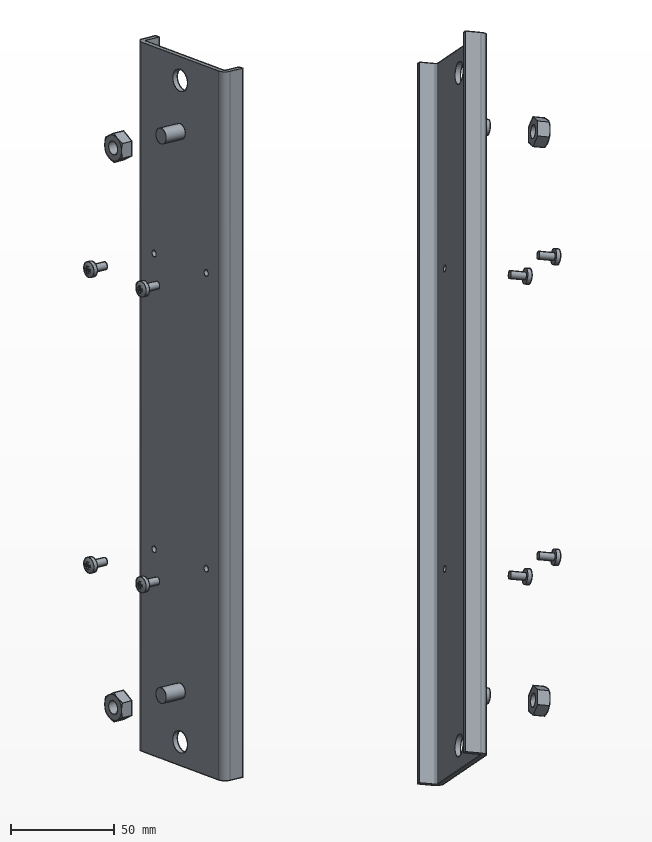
import cadquery as cq
import math

CHANNEL_LENGTH = 360.0
CHANNEL_WIDTH = 67.0
CHANNEL_DEPTH = 12.0
SHEET_THICKNESS = 3.0
BEND_INNER_RADIUS = 1.0
BEND_OUTER_RADIUS = BEND_INNER_RADIUS + SHEET_THICKNESS

MOUNTING_HOLE_DIAMETER = 11.0
MOUNTING_HOLE_SPACING = 336.0

STUD_DIAMETER = 8.0
STUD_LENGTH = 12.0
STUD_SPACING = 284.0
NUT_ACROSS_FLATS = 13.0
NUT_THICKNESS = 6.5
NUT_BORE_DIAMETER = 7.0
HEXAGON_HALF_ANGLE = 30.0
HEXAGON_FLAT_PAIR_ANGLES = (0, 60, 120)
NUT_CHAMFER_ANGLE = 30.0

SCREW_SPACING_X = 40.0
SCREW_SPACING_Z = 150.0
SCREW_SHANK_DIAMETER = 4.0
SCREW_SHANK_LENGTH = 8.0
SCREW_HEAD_DIAMETER = 8.0
SCREW_HEAD_HEIGHT = 3.2
SCREW_HEAD_RIM_HEIGHT = 2.0
SCREW_RECESS_SPAN = 3.5
SCREW_RECESS_ARM_WIDTH = 1.0
SCREW_RECESS_DEPTH = 1.8
SCREW_HOLE_DIAMETER = 3.2

OVERALL_DEPTH = 53.5
FRONT_Y = CHANNEL_DEPTH - OVERALL_DEPTH

MOUNTING_POINTS = [(0, side * MOUNTING_HOLE_SPACING / 2) for side in (-1, 1)]
STUD_POINTS = [(0, side * STUD_SPACING / 2) for side in (-1, 1)]
SCREW_POINTS = [
    (side_x * SCREW_SPACING_X / 2, side_z * SCREW_SPACING_Z / 2)
    for side_x in (-1, 1)
    for side_z in (-1, 1)
]


def facing_front(y):
    """Workplane at the given Y whose local axes are X and Z and whose normal is -Y."""
    return cq.Workplane("XZ", origin=(0, y, 0))


def make_channel():
    half_width = CHANNEL_WIDTH / 2
    inner_half_width = half_width - SHEET_THICKNESS
    channel = (
        cq.Workplane("XY", origin=(0, 0, -CHANNEL_LENGTH / 2))
        .moveTo(-half_width, 0)
        .lineTo(half_width, 0)
        .lineTo(half_width, CHANNEL_DEPTH)
        .lineTo(inner_half_width, CHANNEL_DEPTH)
        .lineTo(inner_half_width, SHEET_THICKNESS)
        .lineTo(-inner_half_width, SHEET_THICKNESS)
        .lineTo(-inner_half_width, CHANNEL_DEPTH)
        .lineTo(-half_width, CHANNEL_DEPTH)
        .close()
        .extrude(CHANNEL_LENGTH)
    )
    outer_corners = cq.selectors.BoxSelector(
        (-CHANNEL_WIDTH, -SHEET_THICKNESS / 2, -CHANNEL_LENGTH),
        (CHANNEL_WIDTH, SHEET_THICKNESS / 2, CHANNEL_LENGTH),
    )
    inner_corners = cq.selectors.BoxSelector(
        (-CHANNEL_WIDTH, SHEET_THICKNESS / 2, -CHANNEL_LENGTH),
        (CHANNEL_WIDTH, CHANNEL_DEPTH / 2, CHANNEL_LENGTH),
    )
    channel = channel.edges("|Z").edges(inner_corners).fillet(BEND_INNER_RADIUS)
    channel = channel.edges("|Z").edges(outer_corners).fillet(BEND_OUTER_RADIUS)

    for points, diameter in (
        (MOUNTING_POINTS, MOUNTING_HOLE_DIAMETER),
        (SCREW_POINTS, SCREW_HOLE_DIAMETER),
    ):
        holes = facing_front(SHEET_THICKNESS).pushPoints(points).circle(diameter / 2).extrude(SHEET_THICKNESS)
        channel = channel.cut(holes)
    return channel


def make_stud(x, z):
    return facing_front(0).center(x, z).circle(STUD_DIAMETER / 2).extrude(STUD_LENGTH)


def make_nut(x, z):
    """Hexagon nut with corners up and down, its front corners cut back by a cone."""
    corner_radius = NUT_ACROSS_FLATS / 2 / math.cos(math.radians(HEXAGON_HALF_ANGLE))
    chamfer_width = corner_radius - NUT_ACROSS_FLATS / 2
    chamfer_depth = chamfer_width * math.tan(math.radians(NUT_CHAMFER_ANGLE))
    back_y = FRONT_Y + NUT_THICKNESS
    nut = facing_front(back_y).center(x, z).circle(corner_radius).extrude(NUT_THICKNESS)
    nut = nut.faces("<Y").chamfer(chamfer_depth, chamfer_width)
    for angle in HEXAGON_FLAT_PAIR_ANGLES:
        slab = (
            facing_front(back_y)
            .center(x, z)
            .transformed(rotate=(0, 0, angle))
            .rect(NUT_ACROSS_FLATS, 2 * NUT_ACROSS_FLATS)
            .extrude(NUT_THICKNESS)
        )
        nut = nut.intersect(slab)
    bore = facing_front(back_y).center(x, z).circle(NUT_BORE_DIAMETER / 2).extrude(NUT_THICKNESS)
    return nut.cut(bore)


def make_screw(x, z):
    """Screw pointing toward +Y, with a cross recess in the middle of its domed head."""
    shank_radius = SCREW_SHANK_DIAMETER / 2
    head_radius = SCREW_HEAD_DIAMETER / 2
    head_back_y = FRONT_Y + SCREW_HEAD_HEIGHT
    rim_y = head_back_y - SCREW_HEAD_RIM_HEIGHT
    tip_y = head_back_y + SCREW_SHANK_LENGTH
    dome_height = rim_y - FRONT_Y
    dome_radius = (head_radius**2 + dome_height**2) / (2 * dome_height)
    halfway_radius = head_radius / 2
    halfway_y = FRONT_Y + dome_radius - math.sqrt(dome_radius**2 - halfway_radius**2)
    screw = (
        cq.Workplane("XY")
        .moveTo(0, FRONT_Y)
        .threePointArc((halfway_radius, halfway_y), (head_radius, rim_y))
        .lineTo(head_radius, head_back_y)
        .lineTo(shank_radius, head_back_y)
        .lineTo(shank_radius, tip_y)
        .lineTo(0, tip_y)
        .close()
        .revolve(360, (0, 0, 0), (0, 1, 0))
        .translate((x, 0, z))
    )
    for arm_size in (
        (SCREW_RECESS_SPAN, SCREW_RECESS_ARM_WIDTH),
        (SCREW_RECESS_ARM_WIDTH, SCREW_RECESS_SPAN),
    ):
        recess_floor = facing_front(FRONT_Y + SCREW_RECESS_DEPTH).center(x, z)
        screw = screw.cut(recess_floor.rect(*arm_size).extrude(SCREW_RECESS_DEPTH))
    return screw


channel = make_channel()
studs = [make_stud(x, z) for x, z in STUD_POINTS]
nuts = [make_nut(x, z) for x, z in STUD_POINTS]
screws = [make_screw(x, z) for x, z in SCREW_POINTS]

result = cq.Compound.makeCompound([body.val() for body in [channel, *studs, *nuts, *screws]])